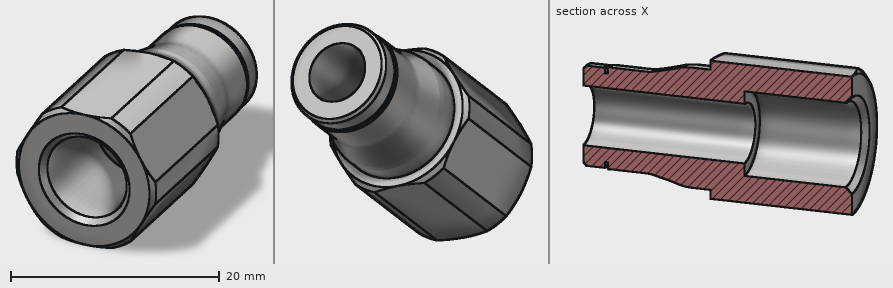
import cadquery as cq
import math

total_length = 27.5

hex_flats = 14.0
hex_corner_diameter = 15.0
hex_length = 14.5
hex_chamfer_length = 0.47

shoulder_radius = 6.1
shoulder_length = 2.1
sleeve_radius = 5.17
blend_radius = 3.3
cone_angle = math.radians(14.5)

collar_radius = 5.1
collar_length = 2.25
collar_chamfer = 0.33
groove_radius = 4.5
groove_width = 0.22
groove_edge_chamfer = 0.1

through_diameter = 6.0
socket_diameter = 8.5
socket_depth = 11.0
socket_mouth_diameter = 9.74


def make_hexagon():
    """Hexagonal prism with turned corners and a conical chamfer at both ends."""
    prism = cq.Workplane("XZ").polygon(6, hex_flats / math.cos(math.pi / 6)).extrude(-hex_length)
    corner_radius = hex_corner_diameter / 2
    face_radius = hex_flats / 2
    envelope = (
        cq.Workplane("XY")
        .moveTo(0, 0)
        .lineTo(face_radius, 0)
        .lineTo(corner_radius, hex_chamfer_length)
        .lineTo(corner_radius, hex_length - hex_chamfer_length)
        .lineTo(face_radius, hex_length)
        .lineTo(0, hex_length)
        .close()
        .revolve(360, (0, 0, 0), (0, 1, 0))
    )
    return prism.intersect(envelope)


def make_neck():
    """Shoulder, cone with tangent blends, sleeve, groove and collar in one revolve."""
    blend_length = blend_radius * math.sin(cone_angle)
    blend_rise = blend_radius * (1 - math.cos(cone_angle))
    half_length = blend_radius * math.sin(cone_angle / 2)
    half_rise = blend_radius * (1 - math.cos(cone_angle / 2))
    cone_rise = shoulder_radius - sleeve_radius - 2 * blend_rise
    cone_length = cone_rise / math.tan(cone_angle)

    taper_start = hex_length + shoulder_length
    cone_start = taper_start + blend_length
    cone_end = cone_start + cone_length
    taper_end = cone_end + blend_length
    collar_start = total_length - collar_length
    groove_start = collar_start - groove_width

    return (
        cq.Workplane("XY")
        .moveTo(0, hex_length)
        .lineTo(shoulder_radius, hex_length)
        .lineTo(shoulder_radius, taper_start)
        .threePointArc(
            (shoulder_radius - half_rise, taper_start + half_length),
            (shoulder_radius - blend_rise, cone_start),
        )
        .lineTo(sleeve_radius + blend_rise, cone_end)
        .threePointArc(
            (sleeve_radius + half_rise, taper_end - half_length),
            (sleeve_radius, taper_end),
        )
        .lineTo(sleeve_radius, groove_start - groove_edge_chamfer)
        .lineTo(sleeve_radius - groove_edge_chamfer, groove_start)
        .lineTo(groove_radius, groove_start)
        .lineTo(groove_radius, collar_start)
        .lineTo(collar_radius - groove_edge_chamfer, collar_start)
        .lineTo(collar_radius, collar_start + groove_edge_chamfer)
        .lineTo(collar_radius, total_length - collar_chamfer)
        .lineTo(collar_radius - collar_chamfer, total_length)
        .lineTo(0, total_length)
        .close()
        .revolve(360, (0, 0, 0), (0, 1, 0))
    )


def make_bores():
    """Through bore, wider socket and the 45 degree countersink at its mouth."""
    through_radius = through_diameter / 2
    socket_radius = socket_diameter / 2
    mouth_radius = socket_mouth_diameter / 2
    countersink_depth = mouth_radius - socket_radius
    return (
        cq.Workplane("XY")
        .moveTo(0, 0)
        .lineTo(mouth_radius, 0)
        .lineTo(socket_radius, countersink_depth)
        .lineTo(socket_radius, socket_depth)
        .lineTo(through_radius, socket_depth)
        .lineTo(through_radius, total_length)
        .lineTo(0, total_length)
        .close()
        .revolve(360, (0, 0, 0), (0, 1, 0))
    )


result = make_hexagon().union(make_neck()).cut(make_bores())